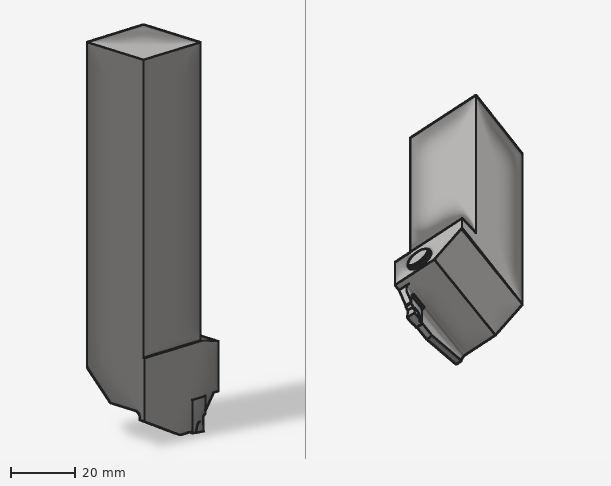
import cadquery as cq
import math

LENGTH = 127.0
SHANK = 25.0

HEAD_TOP = 29.7
HEAD_BACK = 32.4
HEAD_RAMP_END = 27.8
HEAD_STEP = 0.5
SIDE_TAPER = 0.32
HEAD_RIGHT = SHANK + HEAD_STEP
HEAD_BOTTOM = 11.5
CORNER_TOP = 20.8
CORNER_WIDTH = 10.4

BLADE_LEFT = 23.4
BLADE_FILLET = 1.8
BLADE_BOTTOM = 1.0
BLADE_FRONT_Z = 9.0
BLADE_SLOPE_END = 15.6
BLADE_BACK = 30.2
BLADE_BACK_Z = 6.6

SCREW_DIAMETER = 8.5
SCREW_X = 15.7
SCREW_Z = 17.4
SCREW_HEIGHT = 1.4
SCREW_CHAMFER = 0.5

INSERT_FRONT = 21.0
INSERT_BACK = 26.7
INSERT_TOP = 11.3
RAKE_Y = 25.7
RAKE_TOP = 4.8
RAKE_CHAMFER_TOP = 5.7
RELIEF_RISE = 0.4

TIP_LEFT = 22.9
TIP_OVERHANG = 0.19
TIP_RIGHT = HEAD_RIGHT + TIP_OVERHANG
TIP_TOP = 3.5
TIP_FLAT_END = 24.4
TIP_FRONT = 22.5
TIP_CURVE_RISE = 1.0
TIP_CURVE_START = (-1, 0)
TIP_CURVE_END = (-0.5, -1)


def extrude_along_x(outline, x_start, x_end):
    """Extrude a closed YZ outline between two X positions."""
    return outline.extrude(x_end - x_start).translate((x_start, 0, 0))


def make_holder_body():
    side_points = [
        (0, BLADE_FRONT_Z),
        (BLADE_SLOPE_END, BLADE_BOTTOM),
        (INSERT_FRONT, BLADE_BOTTOM),
        (INSERT_BACK, BLADE_BACK_Z),
        (BLADE_BACK, HEAD_BOTTOM),
        (HEAD_BACK, HEAD_BOTTOM),
        (HEAD_BACK, HEAD_RAMP_END),
        (SHANK + HEAD_STEP, HEAD_TOP),
        (SHANK, HEAD_TOP),
        (SHANK, LENGTH),
        (0, LENGTH),
    ]
    side_outline = cq.Workplane("YZ").polyline(side_points).close()
    side = extrude_along_x(side_outline, -SIDE_TAPER, HEAD_RIGHT)

    fillet_mid = BLADE_FILLET * (1 - math.sqrt(0.5))
    front = (
        cq.Workplane("XZ")
        .moveTo(-SIDE_TAPER, LENGTH)
        .lineTo(SHANK, LENGTH)
        .lineTo(SHANK, HEAD_TOP)
        .lineTo(HEAD_RIGHT, HEAD_TOP)
        .lineTo(HEAD_RIGHT, 0)
        .lineTo(BLADE_LEFT, 0)
        .lineTo(BLADE_LEFT, HEAD_BOTTOM - BLADE_FILLET)
        .threePointArc(
            (BLADE_LEFT - fillet_mid, HEAD_BOTTOM - fillet_mid),
            (BLADE_LEFT - BLADE_FILLET, HEAD_BOTTOM),
        )
        .lineTo(CORNER_WIDTH, HEAD_BOTTOM)
        .lineTo(0, CORNER_TOP)
        .lineTo(-SIDE_TAPER, CORNER_TOP)
        .close()
        .extrude(-HEAD_BACK)
    )

    plan_points = [
        (0, 0),
        (HEAD_RIGHT, 0),
        (HEAD_RIGHT, HEAD_BACK),
        (-SIDE_TAPER, HEAD_BACK),
    ]
    plan = cq.Workplane("XY").polyline(plan_points).close().extrude(LENGTH)
    return side.intersect(front).intersect(plan)


def make_insert_seat():
    """Slot through the blade, open at -X through the blade fillet."""
    seat_left = BLADE_LEFT - BLADE_FILLET
    return cq.Workplane("XY").box(
        HEAD_RIGHT - seat_left, INSERT_BACK - INSERT_FRONT, INSERT_TOP, centered=False
    ).translate((seat_left, INSERT_FRONT, 0))


def make_screw_head():
    return (
        cq.Workplane("XZ", origin=(SCREW_X, HEAD_BACK, SCREW_Z))
        .circle(SCREW_DIAMETER / 2)
        .extrude(-SCREW_HEIGHT)
        .faces(">Y")
        .chamfer(SCREW_CHAMFER)
    )


def make_holder():
    return make_holder_body().cut(make_insert_seat()).union(make_screw_head())


def make_insert():
    shank_points = [
        (INSERT_FRONT, RELIEF_RISE),
        (RAKE_Y, 0),
        (RAKE_Y, RAKE_TOP),
        (INSERT_BACK, RAKE_CHAMFER_TOP),
        (INSERT_BACK, INSERT_TOP),
        (INSERT_FRONT, INSERT_TOP),
    ]
    shank_outline = cq.Workplane("YZ").polyline(shank_points).close()
    shank = extrude_along_x(shank_outline, BLADE_LEFT, HEAD_RIGHT)

    relief_slope = RELIEF_RISE / (RAKE_Y - INSERT_FRONT)
    tip_outline = (
        cq.Workplane("YZ")
        .moveTo(RAKE_Y, 0)
        .lineTo(RAKE_Y, TIP_TOP)
        .lineTo(TIP_FLAT_END, TIP_TOP)
        .spline(
            [(TIP_FRONT, TIP_CURVE_RISE)],
            tangents=[TIP_CURVE_START, TIP_CURVE_END],
            includeCurrent=True,
        )
        .lineTo(TIP_FRONT, relief_slope * (RAKE_Y - TIP_FRONT))
        .close()
    )
    tip = extrude_along_x(tip_outline, TIP_LEFT, TIP_RIGHT)

    tip_front_points = [
        (TIP_LEFT, 0),
        (TIP_RIGHT, 0),
        (HEAD_RIGHT, TIP_TOP),
        (TIP_LEFT, TIP_TOP),
    ]
    tip_envelope = cq.Workplane("XZ").polyline(tip_front_points).close().extrude(-HEAD_BACK)
    return shank.union(tip.intersect(tip_envelope))


holder = make_holder()
insert = make_insert()
result = cq.Compound.makeCompound([holder.solids().val(), insert.solids().val()])